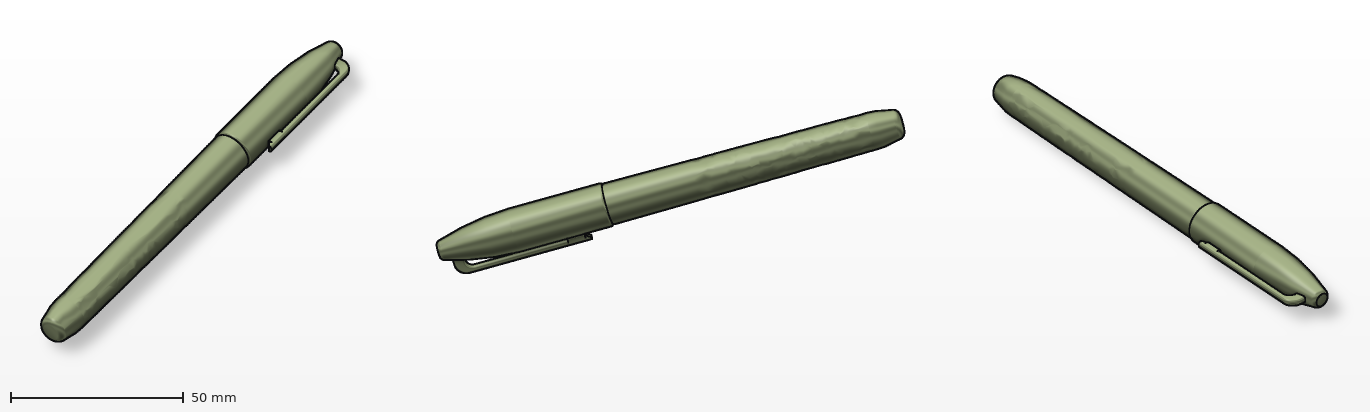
import cadquery as cq

LENGTH = 139.9
OVERALL_WIDTH = 15.4

CAP_RADIUS = 13.0 / 2
CAP_START = 88.8
CAP_RIM_ROUNDING = 0.7
CAP_TAPER_START = 117.1
CAP_TAPER_END = 138.5
CAP_NECK_RADIUS = 3.1
CAP_TAPER_BULGE = 0.8
CAP_TIP_RADIUS = 2.1
CAP_TIP_BULGE = 0.3

BARREL_RADIUS = 6.2
BARREL_RIM_ROUNDING = 0.4
BARREL_BULGE = 0.03
NOSE_START = 9.1
NOSE_START_RADIUS = 11.0 / 2
NOSE_END = 1.5
NOSE_END_RADIUS = 8.8 / 2
NOSE_BULGE = 0.3
END_FACE_RADIUS = 2.7
END_ROUNDING_BULGE = 0.49

CLIP_OUTER = OVERALL_WIDTH - CAP_RADIUS
CLIP_THICKNESS = 2.0
CLIP_INNER = CLIP_OUTER - CLIP_THICKNESS
CLIP_WIDTH = 2.2
CLIP_END = 96.1
CLIP_END_FLAT = 0.8
CLIP_EDGE_ROUNDING = 0.8
ARM_TOP = 136.7
ARM_UNDERSIDE = 133.2
ARM_ROOT = 2.1
BEND_OUTER_RADIUS = 3.6
BEND_INNER_RADIUS = 2.1
PAD_START = 97.8
PAD_END = 103.0
PAD_EDGE_ROUNDING = 0.5


def bulged_arc(profile, start, end, bulge):
    """Continue a profile from start to end by an arc that swells away from the axis."""
    middle = ((start[0] + end[0]) / 2, (start[1] + end[1]) / 2 + bulge)
    return profile.threePointArc(middle, end)


def turned(profile):
    """Revolve a half profile about the pen axis."""
    return profile.close().revolve(360, (0, 0, 0), (1, 0, 0))


def make_cap():
    taper_start = (CAP_TAPER_START, CAP_RADIUS)
    neck = (CAP_TAPER_END, CAP_NECK_RADIUS)
    tip = (LENGTH, CAP_TIP_RADIUS)
    profile = (
        cq.Workplane("YZ").moveTo(CAP_START, 0)
        .lineTo(CAP_START, CAP_RADIUS - CAP_RIM_ROUNDING)
        .radiusArc((CAP_START + CAP_RIM_ROUNDING, CAP_RADIUS), CAP_RIM_ROUNDING)
        .lineTo(*taper_start)
    )
    profile = bulged_arc(profile, taper_start, neck, CAP_TAPER_BULGE)
    profile = bulged_arc(profile, neck, tip, CAP_TIP_BULGE)
    return turned(profile.lineTo(LENGTH, 0))


def make_barrel():
    end_face = (0, END_FACE_RADIUS)
    nose_end = (NOSE_END, NOSE_END_RADIUS)
    nose_start = (NOSE_START, NOSE_START_RADIUS)
    rim = (CAP_START - BARREL_RIM_ROUNDING, BARREL_RADIUS)
    profile = cq.Workplane("YZ").lineTo(*end_face)
    profile = bulged_arc(profile, end_face, nose_end, END_ROUNDING_BULGE)
    profile = bulged_arc(profile, nose_end, nose_start, NOSE_BULGE)
    profile = bulged_arc(profile, nose_start, rim, BARREL_BULGE)
    profile = (
        profile
        .radiusArc((CAP_START, BARREL_RADIUS - BARREL_RIM_ROUNDING), BARREL_RIM_ROUNDING)
        .lineTo(CAP_START, 0)
    )
    return turned(profile)


def make_clip_strip():
    """Bent strip with rounded long edges: arm, outer bend and straight part."""
    return (
        cq.Workplane("XY").moveTo(ARM_ROOT, ARM_TOP)
        .lineTo(CLIP_OUTER - BEND_OUTER_RADIUS, ARM_TOP)
        .radiusArc((CLIP_OUTER, ARM_TOP - BEND_OUTER_RADIUS), BEND_OUTER_RADIUS)
        .lineTo(CLIP_OUTER, CLIP_END)
        .lineTo(CLIP_INNER, CLIP_END)
        .lineTo(CLIP_INNER, ARM_UNDERSIDE - BEND_INNER_RADIUS)
        .radiusArc((CLIP_INNER - BEND_INNER_RADIUS, ARM_UNDERSIDE), -BEND_INNER_RADIUS)
        .lineTo(ARM_ROOT, ARM_UNDERSIDE)
        .close()
        .extrude(CLIP_WIDTH / 2, both=True)
        .faces("<Z or >Z").edges("not (<X or <Y)").fillet(CLIP_EDGE_ROUNDING)
    )


def make_clip_end_slant():
    """Wedge taken off the inner side of the clip's free end."""
    return (
        cq.Workplane("XY").moveTo(CLIP_INNER, CLIP_END)
        .lineTo(CLIP_OUTER - CLIP_END_FLAT, CLIP_END)
        .lineTo(CLIP_INNER, PAD_START)
        .close()
        .extrude(CLIP_WIDTH / 2, both=True)
    )


def make_clip_pad():
    """Block under the free end that rests on the cap."""
    pad_top = CLIP_OUTER - CLIP_THICKNESS / 2
    pad_height = pad_top - CAP_RADIUS
    return (
        cq.Workplane("XY", origin=(CAP_RADIUS, PAD_START, 0))
        .box(pad_height, PAD_END - PAD_START, CLIP_WIDTH, centered=(False, False, True))
        .faces("<X").edges("|Y").fillet(PAD_EDGE_ROUNDING)
    )


def make_clip(cap):
    return make_clip_strip().cut(make_clip_end_slant()).union(make_clip_pad()).cut(cap)


cap = make_cap()
barrel = make_barrel()
clip = make_clip(cap)
result = cq.Compound.makeCompound([cap.val(), barrel.val(), clip.val()])